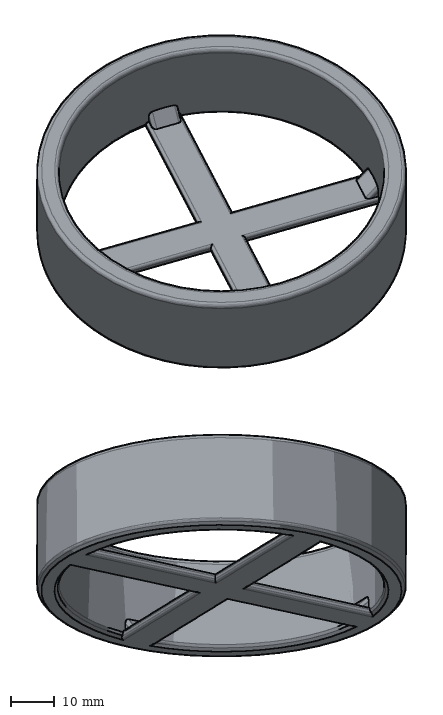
import cadquery as cq

outer_diameter = 84.0
bore_diameter = 74.0
ring_height = 22.0
rim_round = 1.0
bottom_chamfer = 1.0
shoulder_round = 1.0
selection_margin = 0.1

arm_width = 8.4
arm_thickness = 2.0
arm_round = 0.7

wedge_leg = 3.0
wedge_width = arm_width - 2 * arm_round
wedge_round = 0.8

bore_radius = bore_diameter / 2
anchor_radius = (outer_diameter + bore_diameter) / 4


def make_ring():
    """Tube with rounded top edges and bottom chamfers that blend smoothly into both walls."""
    ring = (
        cq.Workplane("XY")
        .circle(outer_diameter / 2)
        .circle(bore_radius)
        .extrude(ring_height)
    )
    ring = ring.faces(">Z").edges().fillet(rim_round)
    ring = ring.faces("<Z").edges().chamfer(bottom_chamfer)
    chamfer_shoulder = cq.selectors.BoxSelector(
        (-outer_diameter, -outer_diameter, bottom_chamfer - selection_margin),
        (outer_diameter, outer_diameter, bottom_chamfer + selection_margin),
    )
    return ring.edges(chamfer_shoulder).edges("%CIRCLE").fillet(shoulder_round)


def make_cross():
    """Two crossing arms with rounded upper and lower edges, ending inside the ring wall."""
    arm_length = 2 * anchor_radius
    along_x = cq.Workplane("XY").rect(arm_length, arm_width).extrude(arm_thickness)
    along_y = cq.Workplane("XY").rect(arm_width, arm_length).extrude(arm_thickness)
    return along_x.union(along_y).faces("<Z or >Z").edges().fillet(arm_round)


def make_wedge():
    """45-degree wedge on the +X arm, with its two sloping edges rounded."""
    toe_radius = bore_radius - wedge_leg
    rise = anchor_radius - toe_radius
    wedge = (
        cq.Workplane("XZ")
        .moveTo(toe_radius, arm_thickness)
        .lineTo(anchor_radius, arm_thickness)
        .lineTo(anchor_radius, arm_thickness + rise)
        .close()
        .extrude(wedge_width / 2, both=True)
    )
    return wedge.edges("(not |X) and (not |Y) and (not |Z)").fillet(wedge_round)


result = make_ring().union(make_cross())
wedge = make_wedge()
for quarter_turn in range(4):
    result = result.union(wedge.rotate((0, 0, 0), (0, 0, 1), 90 * quarter_turn))